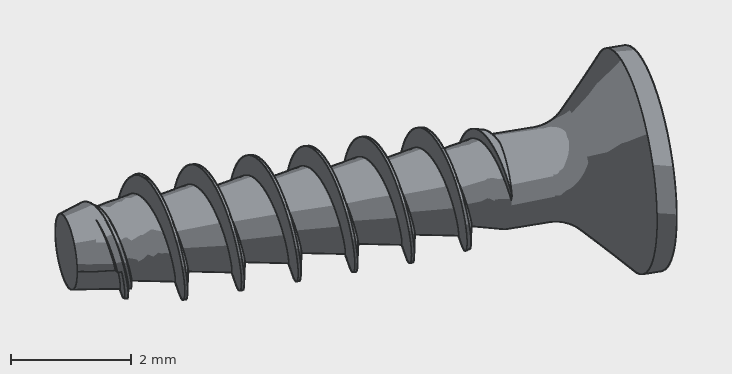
import cadquery as cq
import math


length = 10.0

head_radius = 1.9
head_rim_height = 0.35
head_edge_round = 0.03
cone_angle = math.radians(45)
neck_radius = 0.8
neck_fillet = 0.8
neck_end = -2.54

pitch = 0.98
crest_radius = 1.1
crest_width = 0.05
flank_angle = math.radians(15)
floor_radius_wide = 0.78
floor_radius_narrow = 0.65
crest_phase_z = -8.29

first_crest_radius = 0.87
full_crest_start = -3.5
full_crest_end = -8.57
tip_radius = 0.64

blend_length = 0.6

runout_depth = 0.4
runout_turns = 1.5
tip_core_slope = 0.14
tip_turns_below_phase = 2

turns_below_phase = 3
turns_above_phase = 7


def revolve_profile(profile):
    return profile.close().revolve(360, (0, 0, 0), (0, 1, 0))


def make_head():
    fillet_drop = neck_fillet * math.sin(cone_angle)
    cone_end_radius = neck_radius + neck_fillet * (1 - math.cos(cone_angle))
    cone_end = -head_rim_height - (head_radius - cone_end_radius) / math.tan(cone_angle)
    half_angle = cone_angle / 2
    arc_mid = (
        neck_radius + neck_fillet * (1 - math.cos(half_angle)),
        cone_end - fillet_drop + neck_fillet * math.sin(half_angle),
    )
    profile = (
        cq.Workplane("YZ")
        .moveTo(0, 0)
        .lineTo(head_radius, 0)
        .lineTo(head_radius, -head_rim_height)
        .lineTo(cone_end_radius, cone_end)
        .threePointArc(arc_mid, (neck_radius, cone_end - fillet_drop))
        .lineTo(neck_radius, neck_end)
        .lineTo(0, neck_end)
    )
    return revolve_profile(profile).faces(">Z").edges().fillet(head_edge_round)


def make_thread_blank():
    profile = (
        cq.Workplane("YZ")
        .moveTo(0, neck_end)
        .lineTo(first_crest_radius, neck_end)
        .lineTo(crest_radius, full_crest_start)
        .lineTo(crest_radius, full_crest_end)
        .lineTo(tip_radius, -length)
        .lineTo(0, -length)
    )
    return revolve_profile(profile)


def make_groove(lower_crest, turns, crest_start, crest_rise, floor_low, floor_high):
    """Helical tool for the space between neighbouring thread turns.

    It starts on the +X side, above the crest at height lower_crest and radius crest_start.
    The crest radius grows by crest_rise on every turn, and the floor runs from radius
    floor_low at the lower turn to floor_high at the upper one.
    """
    upper_crest = lower_crest + pitch
    lower_radius = crest_start
    upper_radius = crest_start + crest_rise
    half_crest = crest_width / 2
    overshoot = half_crest

    def flank_offset(depth):
        return half_crest + depth * math.tan(flank_angle)

    profile = (
        cq.Workplane("XZ")
        .moveTo(floor_low, lower_crest + flank_offset(lower_radius - floor_low))
        .lineTo(lower_radius + overshoot, lower_crest + flank_offset(-overshoot))
        .lineTo(upper_radius + overshoot, upper_crest - flank_offset(-overshoot))
        .lineTo(floor_high, upper_crest - flank_offset(upper_radius - floor_high))
        .close()
    )
    start = cq.Vector(0, 0, lower_crest)
    if crest_rise == 0:
        path = cq.Wire.makeHelix(pitch, turns * pitch, crest_start, start)
    else:
        cone = math.atan2(crest_rise, pitch)
        slant = pitch / math.cos(cone)
        path = cq.Wire.makeHelix(slant, turns * slant, crest_start, start, angle=math.degrees(cone))
    return profile.sweep(cq.Workplane(path), isFrenet=True)


def make_thread_groove():
    start = crest_phase_z - turns_below_phase * pitch
    turns = turns_below_phase + turns_above_phase
    return make_groove(start, turns, crest_radius, 0, floor_radius_narrow, floor_radius_wide)


def make_tip_runout():
    """Tool that thins the last turns, kept outside the tapered core of the tip.

    Its ridge sinks into the core with an unchanged section.
    """
    slope = (crest_radius - tip_radius) / (full_crest_end + length)
    rise = slope * pitch
    start = crest_phase_z - tip_turns_below_phase * pitch
    crest_start = crest_radius + slope * (start - full_crest_end)
    floor_low = crest_start - runout_depth
    tool = make_groove(start, runout_turns, crest_start, rise, floor_low, floor_low + rise)
    reach_below = pitch
    reach_above = 3 * pitch
    profile = (
        cq.Workplane("YZ")
        .moveTo(0, -length - reach_below)
        .lineTo(tip_radius - tip_core_slope * reach_below, -length - reach_below)
        .lineTo(tip_radius + tip_core_slope * reach_above, -length + reach_above)
        .lineTo(0, -length + reach_above)
    )
    return tool.cut(revolve_profile(profile))


def make_blend_cone():
    profile = (
        cq.Workplane("YZ")
        .moveTo(0, neck_end)
        .lineTo(neck_radius, neck_end)
        .lineTo(floor_radius_narrow, neck_end - blend_length)
        .lineTo(0, neck_end - blend_length)
    )
    return revolve_profile(profile)


thread = make_thread_blank().cut(make_thread_groove())
thread = thread.cut(make_tip_runout())
screw = thread.union(make_blend_cone()).union(make_head())
result = screw.rotate((0, 0, 0), (1, 0, 0), -90)